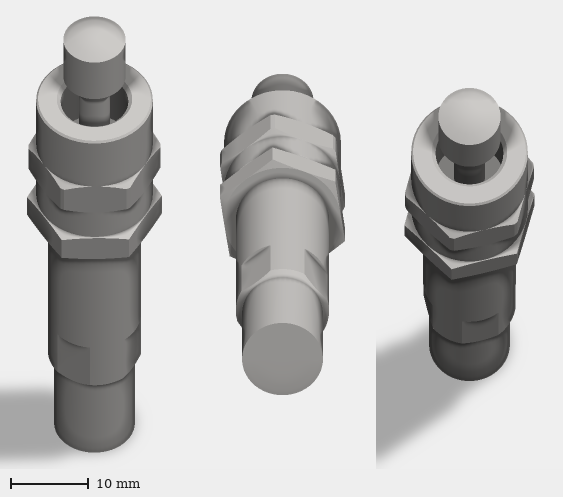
import cadquery as cq
import math


tail_diameter = 10.4
tail_length = 13.0

barrel_diameter = 12.0
barrel_chamfer = (barrel_diameter - tail_diameter) / 2
flats_across = 11.0
flats_top = 21.0

wrench_size = 15.0
hexagon_point_diameter = wrench_size / math.cos(math.radians(30))

nut_bottom = 39.7
nut_height = 4.0
nut_chamfer_angle = 15.0
nut_top = nut_bottom + nut_height

sleeve_diameter = 15.0
sleeve_bottom = nut_top
sleeve_top = 62.1
sleeve_chamfer = 0.25
collar_bottom = 48.6
collar_height = 5.0
collar_corner_diameter = 17.0
collar_chamfer_angle = 30.0

rod_diameter = 4.0
cap_diameter = 8.0
cap_bottom = 66.5
cap_height = 8.0
dome_height = 1.0
cap_top = cap_bottom + cap_height

bore_diameter = 8.7
bore_chamfer = 0.5
bore_floor = sleeve_top - cap_height


def cylinder(diameter, bottom, top):
    return cq.Workplane("XY").workplane(offset=bottom).circle(diameter / 2).extrude(top - bottom)


def chamfered_hexagon(bottom, height, corner_diameter, chamfer_angle):
    """Hexagon with two corners on the Y axis, its corners turned down by a cone at each end."""
    prism = (
        cq.Workplane("XY")
        .workplane(offset=bottom)
        .polygon(6, hexagon_point_diameter)
        .extrude(height)
        .rotate((0, 0, 0), (0, 0, 1), 30)
    )
    face_radius = wrench_size / 2
    corner_radius = corner_diameter / 2
    drop = (corner_radius - face_radius) * math.tan(math.radians(chamfer_angle))
    top = bottom + height
    turned_blank = (
        cq.Workplane("XZ")
        .moveTo(0, bottom)
        .lineTo(face_radius, bottom)
        .lineTo(corner_radius, bottom + drop)
        .lineTo(corner_radius, top - drop)
        .lineTo(face_radius, top)
        .lineTo(0, top)
        .close()
        .revolve(360, (0, 0, 0), (0, 1, 0))
    )
    return prism.intersect(turned_blank)


def make_barrel():
    """Barrel with its four flats, and the plain tail behind it."""
    barrel = cylinder(barrel_diameter, tail_length, sleeve_bottom)
    barrel = barrel.faces("<Z").chamfer(barrel_chamfer)
    flats_envelope = (
        cq.Workplane("XY")
        .workplane(offset=tail_length)
        .rect(flats_across, flats_across)
        .extrude(flats_top - tail_length)
        .union(cylinder(barrel_diameter, flats_top, sleeve_bottom))
    )
    tail = cylinder(tail_diameter, 0, tail_length)
    return barrel.intersect(flats_envelope).union(tail)


def make_sleeve():
    """Sleeve with its hexagonal collar and the bore that the cap sinks into."""
    sleeve = cylinder(sleeve_diameter, sleeve_bottom, sleeve_top)
    sleeve = sleeve.faces("<Z or >Z").chamfer(sleeve_chamfer)
    collar = chamfered_hexagon(collar_bottom, collar_height, collar_corner_diameter, collar_chamfer_angle)
    bore = cylinder(bore_diameter, bore_floor, sleeve_top)
    bore_mouth = (
        cq.Workplane("XY")
        .workplane(offset=sleeve_top)
        .circle(bore_diameter / 2 + bore_chamfer)
        .extrude(-bore_chamfer, taper=45)
    )
    return sleeve.union(collar).cut(bore).cut(bore_mouth)


def make_plunger():
    """Rod standing on the bore floor, with the domed cap on its end."""
    cap_radius = cap_diameter / 2
    dome_radius = (cap_radius**2 + dome_height**2) / (2 * dome_height)
    half_angle = math.asin(cap_radius / dome_radius) / 2
    dome_middle = (
        dome_radius * math.sin(half_angle),
        cap_top - dome_radius * (1 - math.cos(half_angle)),
    )
    return (
        cq.Workplane("XZ")
        .moveTo(0, bore_floor)
        .lineTo(rod_diameter / 2, bore_floor)
        .lineTo(rod_diameter / 2, cap_bottom)
        .lineTo(cap_radius, cap_bottom)
        .lineTo(cap_radius, cap_top - dome_height)
        .threePointArc(dome_middle, (0, cap_top))
        .close()
        .revolve(360, (0, 0, 0), (0, 1, 0))
    )


def make_absorber():
    """Whole absorber in one solid: barrel, sleeve, rod and cap."""
    return make_barrel().union(make_sleeve()).union(make_plunger())


def make_lock_nut():
    """Hexagon nut fitted on the barrel."""
    nut = chamfered_hexagon(nut_bottom, nut_height, hexagon_point_diameter, nut_chamfer_angle)
    return nut.cut(cylinder(barrel_diameter, nut_bottom, nut_top))


absorber = make_absorber()
lock_nut = make_lock_nut()

result = cq.Compound.makeCompound([absorber.val(), lock_nut.val()])